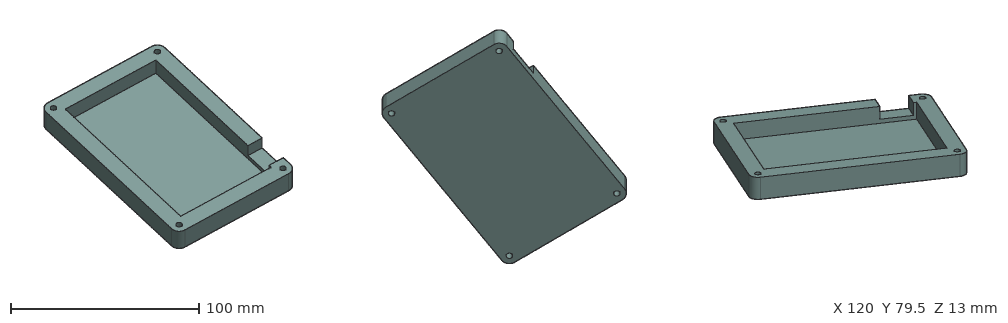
import cadquery as cq

case_length = 119.96
case_width = 79.53
case_height = 13.0
corner_radius = 5.0

wall_thickness = 9.5
pocket_length = case_length - 2 * wall_thickness
pocket_width = case_width - 2 * wall_thickness
floor_thickness = 3.1

notch_left_x = 30.2
notch_right_x = 48.7
notch_depth = 7.5

screw_hole_diameter = 3.4


def make_body():
    """Plain block with rounded vertical corners, standing on Z = 0."""
    block = cq.Workplane("XY").box(case_length, case_width, case_height, centered=(True, True, False))
    return block.edges("|Z").fillet(corner_radius)


def make_pocket():
    """Rectangular cavity that leaves only the floor below it."""
    return (
        cq.Workplane("XY", origin=(0, 0, floor_thickness))
        .rect(pocket_length, pocket_width)
        .extrude(case_height - floor_thickness)
    )


def make_notch():
    """Rectangular opening from the pocket out through the rear wall."""
    notch_length = notch_right_x - notch_left_x
    notch_floor_z = case_height - notch_depth
    return (
        cq.Workplane("XY", origin=(notch_left_x, pocket_width / 2, notch_floor_z))
        .box(notch_length, wall_thickness, notch_depth, centered=False)
    )


def make_screw_holes():
    """Four through holes at the corner centres."""
    spacing_x = case_length - 2 * corner_radius
    spacing_y = case_width - 2 * corner_radius
    return (
        cq.Workplane("XY")
        .rect(spacing_x, spacing_y, forConstruction=True)
        .vertices()
        .circle(screw_hole_diameter / 2)
        .extrude(case_height)
    )


result = make_body().cut(make_pocket()).cut(make_notch()).cut(make_screw_holes())